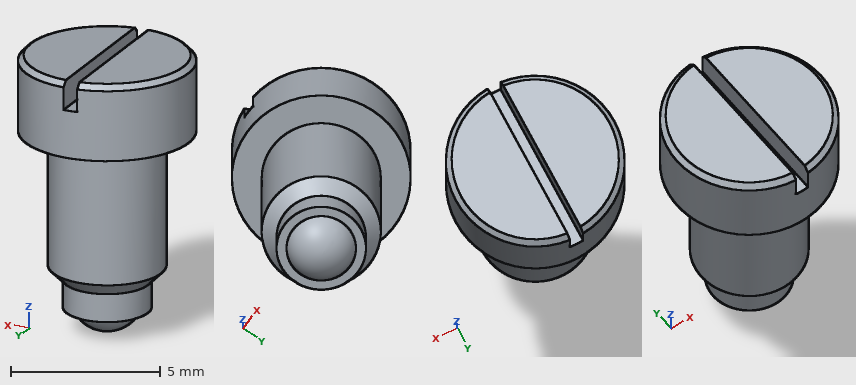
import cadquery as cq
import math

total_length = 9.8
head_height = 2.695
cone_height = 0.5
nose_height = 1.0
ball_protrusion = 0.8

head_radius = 6.0 / 2
shank_radius = 4.0 / 2
nose_radius = 3.0 / 2
ball_radius = 1.24

head_chamfer = 0.2
slot_width = 0.5
slot_depth = 1.0

nose_bottom = ball_protrusion
nose_top = nose_bottom + nose_height
shank_bottom = nose_top + cone_height
head_bottom = total_length - head_height

ball_edge_radius = math.sqrt(ball_radius**2 - (ball_radius - ball_protrusion) ** 2)
half_angle = math.acos((ball_radius - ball_protrusion) / ball_radius) / 2
ball_mid_point = (
    ball_radius * math.sin(half_angle),
    ball_radius * (1 - math.cos(half_angle)),
)


def turned_body():
    """Revolve the half profile of ball, nose, cone, shank and head."""
    return (
        cq.Workplane("XZ")
        .moveTo(0, 0)
        .threePointArc(ball_mid_point, (ball_edge_radius, nose_bottom))
        .lineTo(nose_radius, nose_bottom)
        .lineTo(nose_radius, nose_top)
        .lineTo(shank_radius, shank_bottom)
        .lineTo(shank_radius, head_bottom)
        .lineTo(head_radius, head_bottom)
        .lineTo(head_radius, total_length - head_chamfer)
        .lineTo(head_radius - head_chamfer, total_length)
        .lineTo(0, total_length)
        .close()
        .revolve(360, (0, 0, 0), (0, 1, 0))
    )


def screwdriver_slot():
    """Slot across the full head, running along Y."""
    return (
        cq.Workplane("XY")
        .workplane(offset=total_length - slot_depth)
        .rect(slot_width, 2 * head_radius)
        .extrude(slot_depth)
    )


result = turned_body().cut(screwdriver_slot())